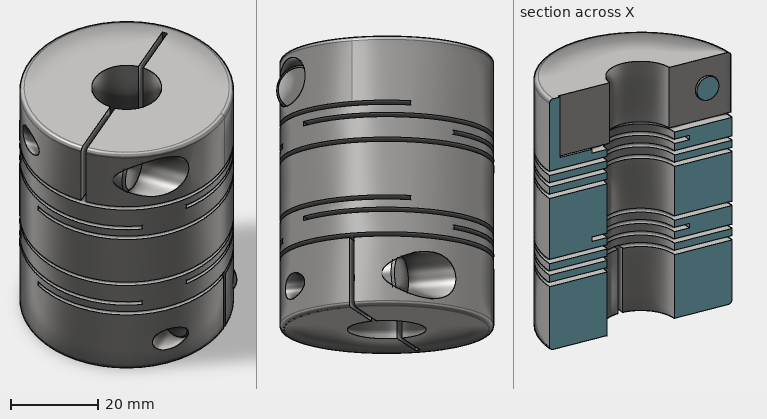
import cadquery as cq

OUTER_DIAMETER = 49.0
LENGTH = 63.5
EDGE_FILLET = 1.0
UPPER_BORE_DIAMETER = 16.0
LOWER_BORE_DIAMETER = 18.0

HUB_LENGTH = 15.3
SLOT_HEIGHT = 1.0
SLOT_PITCH = 2.9
GROUP_PITCH = 22.3
SLOT_REACH = 13.0
SLOT_DIRECTIONS = (-90, 90, 180, 0)
SLOT_GROUPS = 2

SLIT_WIDTH = 1.2
SLIT_REACH = 21.6

SCREW_OFFSET = 18.0
SCREW_END_DISTANCE = 7.5
SHANK_DIAMETER = 6.0
HEAD_DIAMETER = 11.0
HEAD_HEIGHT = 6.0
HEAD_TOP = 9.8
HEAD_CHAMFER = 0.6
TIP_POSITION = -12.3
TIP_CHAMFER = 0.5

RADIUS = OUTER_DIAMETER / 2
UPPER_HUB_BOTTOM = LENGTH - HUB_LENGTH
LOWER_HUB_TOP = (
    UPPER_HUB_BOTTOM
    - SLOT_HEIGHT
    - (SLOT_GROUPS - 1) * GROUP_PITCH
    - (len(SLOT_DIRECTIONS) - 1) * SLOT_PITCH
)
UPPER_SLIT_ANGLE = -90
LOWER_SLIT_ANGLE = 0


def one_sided_cut(width, reach, bottom, top, angle):
    """Block that enters from outside at the given angle and stops `reach` past the axis."""
    block = cq.Workplane("XY").box(
        reach + OUTER_DIAMETER, width, top - bottom, centered=(False, True, False)
    )
    return block.translate((-reach, 0, bottom)).rotate((0, 0, 0), (0, 0, 1), angle)


def make_body():
    """Round bar with filleted ends and a bore that widens below the upper hub."""
    body = cq.Workplane("XY").circle(RADIUS).extrude(LENGTH)
    body = body.faces("<Z or >Z").edges().fillet(EDGE_FILLET)
    lower_bore = cq.Workplane("XY").circle(LOWER_BORE_DIAMETER / 2).extrude(UPPER_HUB_BOTTOM)
    upper_bore = cq.Workplane("XY").circle(UPPER_BORE_DIAMETER / 2).extrude(LENGTH)
    return body.cut(lower_bore).cut(upper_bore)


def cut_flexure_slots(body):
    """Thin slots entering from alternating sides make the coupling flexible."""
    for group in range(SLOT_GROUPS):
        for index, angle in enumerate(SLOT_DIRECTIONS):
            top = UPPER_HUB_BOTTOM - group * GROUP_PITCH - index * SLOT_PITCH
            slot = one_sided_cut(2 * OUTER_DIAMETER, SLOT_REACH, top - SLOT_HEIGHT, top, angle)
            body = body.cut(slot)
    return body


def cut_clamp_slits(body):
    """A vertical slit through each hub, open on one side of the rim."""
    upper = one_sided_cut(SLIT_WIDTH, SLIT_REACH, UPPER_HUB_BOTTOM, LENGTH, UPPER_SLIT_ANGLE)
    lower = one_sided_cut(SLIT_WIDTH, SLIT_REACH, 0, LOWER_HUB_TOP, LOWER_SLIT_ANGLE)
    return body.cut(upper).cut(lower)


def rod(diameter, start, end):
    """Cylinder along X between two X positions."""
    return cq.Workplane("YZ").workplane(offset=start).circle(diameter / 2).extrude(end - start)


def add_clamp_screw(body, slit_angle, height):
    """Drill, counterbore and fill with a cap screw lying across the slit."""

    def place(shape):
        centred = shape.translate((0, -SCREW_OFFSET, height))
        return centred.rotate((0, 0, 0), (0, 0, 1), slit_angle - UPPER_SLIT_ANGLE)

    head_seat = HEAD_TOP - HEAD_HEIGHT
    hole = rod(SHANK_DIAMETER, -RADIUS, HEAD_TOP)
    counterbore = rod(HEAD_DIAMETER, head_seat, RADIUS)
    shank = rod(SHANK_DIAMETER, TIP_POSITION, HEAD_TOP).faces("<X").chamfer(TIP_CHAMFER)
    head = rod(HEAD_DIAMETER, head_seat, HEAD_TOP).faces(">X").chamfer(HEAD_CHAMFER)
    body = body.cut(place(hole)).cut(place(counterbore))
    return body.union(place(shank)).union(place(head))


result = make_body()
result = cut_flexure_slots(result)
result = cut_clamp_slits(result)
result = add_clamp_screw(result, UPPER_SLIT_ANGLE, LENGTH - SCREW_END_DISTANCE)
result = add_clamp_screw(result, LOWER_SLIT_ANGLE, SCREW_END_DISTANCE)